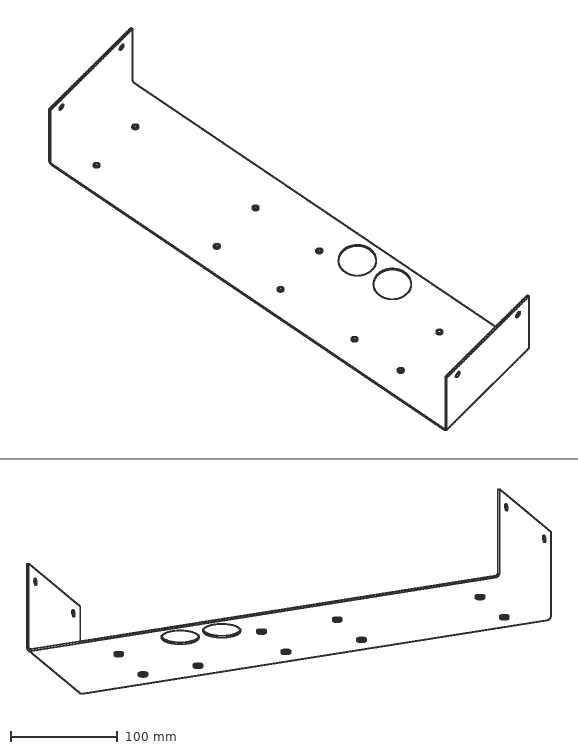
import cadquery as cq

LENGTH = 482.5
WIDTH = 120.5
OVERALL_HEIGHT = 90.2
SHEET = 2.0
BEND_INNER_RADIUS = 2.5
BEND_OUTER_RADIUS = BEND_INNER_RADIUS + SHEET

HEAD_DIAMETER = 8.5
HEAD_HEIGHT = 2.05
HEAD_CHAMFER = 0.5
SHANK_DIAMETER = 6.5
BORE_DIAMETER = 4.0

NUT_ROW_FRONT = -34.7
NUT_ROW_BACK = 22.0
NUT_PAIR_SPACING = 145.7
LEFT_GROUP_X = -204.5
RIGHT_GROUP_X = 18.5
EXTRA_NUT_X = 108.0
NUT_COLUMNS = [
    group_x + offset
    for group_x in (LEFT_GROUP_X, RIGHT_GROUP_X)
    for offset in (0, NUT_PAIR_SPACING)
]
NUT_PLACES = [(x, y) for x in NUT_COLUMNS for y in (NUT_ROW_FRONT, NUT_ROW_BACK)]
NUT_PLACES.append((EXTRA_NUT_X, NUT_ROW_FRONT))

OPENING_DIAMETER = 35.0
OPENING_X = 52.5
OPENING_SPACING = 42.5
OPENING_Y = 36.5
OPENING_PLACES = [(OPENING_X, OPENING_Y), (OPENING_X + OPENING_SPACING, OPENING_Y)]

FLANGE_HOLE_DIAMETER = 6.5
FLANGE_HOLE_SPACING = 89.0
FLANGE_HOLE_DROP = 12.5

FLANGE_TOP = OVERALL_HEIGHT - HEAD_HEIGHT


def make_channel_sheet():
    """Bent sheet: an outer block with rounded lower edges, less its hollow."""
    outer = (
        cq.Workplane("XY")
        .box(LENGTH, WIDTH, FLANGE_TOP, centered=(True, True, False))
        .edges("|Y and <Z")
        .fillet(BEND_OUTER_RADIUS)
    )
    hollow = (
        cq.Workplane("XY", origin=(0, 0, SHEET))
        .box(LENGTH - 2 * SHEET, WIDTH, FLANGE_TOP, centered=(True, True, False))
        .edges("|Y and <Z")
        .fillet(BEND_INNER_RADIUS)
    )
    return outer.cut(hollow)


def floor_holes(places, diameter):
    """Cutters that pass through the floor at the given places."""
    return cq.Workplane("XY").pushPoints(places).circle(diameter / 2).extrude(SHEET)


def flange_holes():
    """Cutters along X that pass through both flanges."""
    half_spacing = FLANGE_HOLE_SPACING / 2
    hole_z = FLANGE_TOP - FLANGE_HOLE_DROP
    return (
        cq.Workplane("YZ")
        .pushPoints([(-half_spacing, hole_z), (half_spacing, hole_z)])
        .circle(FLANGE_HOLE_DIAMETER / 2)
        .extrude(LENGTH / 2, both=True)
    )


def make_channel():
    return (
        make_channel_sheet()
        .cut(floor_holes(OPENING_PLACES, OPENING_DIAMETER))
        .cut(floor_holes(NUT_PLACES, SHANK_DIAMETER))
        .cut(flange_holes())
    )


def make_nut(x, y):
    """Clinch nut whose shank ends flush with the upper face of the floor."""
    return (
        cq.Workplane("XY", origin=(x, y, -HEAD_HEIGHT))
        .circle(HEAD_DIAMETER / 2)
        .extrude(HEAD_HEIGHT)
        .edges("<Z")
        .chamfer(HEAD_CHAMFER)
        .faces(">Z")
        .workplane()
        .circle(SHANK_DIAMETER / 2)
        .extrude(SHEET)
        .faces(">Z")
        .workplane()
        .hole(BORE_DIAMETER)
    )


channel = make_channel()
nuts = [make_nut(x, y) for x, y in NUT_PLACES]

result = cq.Compound.makeCompound([channel.val(), *[nut.val() for nut in nuts]])